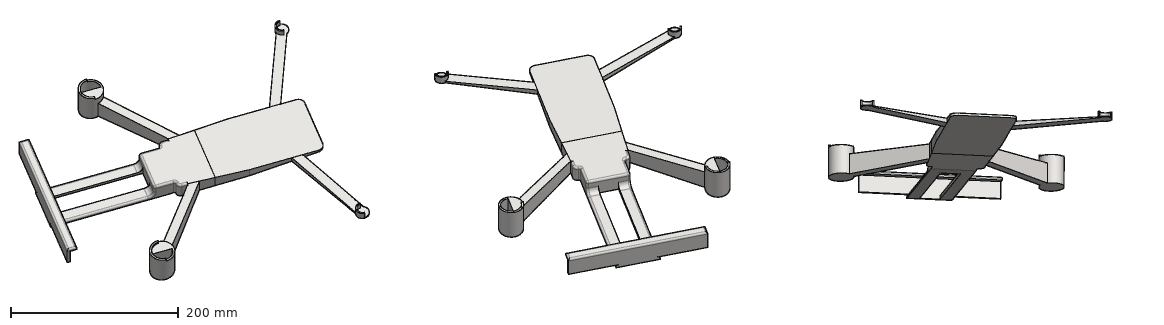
import cadquery as cq
import math


UNDERSIDE_TAIL_Y = 361.3
UNDERSIDE_TAIL_Z = -1.0
UNDERSIDE_NOSE_Y = 90.5
UNDERSIDE_NOSE_Z = -27.5
UNDERSIDE_SLOPE = (UNDERSIDE_TAIL_Z - UNDERSIDE_NOSE_Z) / (UNDERSIDE_TAIL_Y - UNDERSIDE_NOSE_Y)

TAIL_Y = 342.5
TAIL_HALF_WIDTH = 40.0
TAIL_CORNER_RADIUS = 8.3
TAPER_START_Y = 247.0
SEAM_Y = 204.5
SHOULDER_REAR_Y = 170.5
SHOULDER_FRONT_Y = 163.3
SHOULDER_HALF_WIDTH = 35.5
SHOULDER_OUTER_RADIUS = 5.8
SHOULDER_INNER_RADIUS = 2.0
NOSE_HALF_WIDTH = SHOULDER_HALF_WIDTH - SHOULDER_OUTER_RADIUS - SHOULDER_INNER_RADIUS
NOSE_FACE_Y = 130.5
NOSE_ROUNDING = 3.0

RAIL_TOP_Z = -17.5
RAIL_BOTTOM_Z = -21.5
RAIL_ROOT_RADIUS = 7.2
RAIL_GAP_HALF_WIDTH = 12.3

PLATE_HALF_WIDTH = 86.5
PLATE_THICKNESS = 4.0
PLATE_TOP_Z = 7.2
LIP_DEPTH = 12.5
LIP_ROUNDING = 2.5

FRONT_POD_X = 128.0
FRONT_POD_Y = 105.5
FRONT_POD_RADIUS = 15.0
FRONT_POD_TOP_Z = 10.5
FRONT_POD_RIM_Z = 13.0
FRONT_POD_WALL = 2.5
FRONT_POCKET_DEPTH = 21.5
FRONT_ARM_WIDTH = 11.5
FRONT_ARM_ROOT_Y = 177.8

REAR_POD_X = 144.5
REAR_POD_Y = 353.0
REAR_POD_RADIUS = 8.3
REAR_POD_RIM_Z = 7.5
REAR_POD_WALL = 1.8
REAR_ARM_WIDTH = 13.0
REAR_ARM_ROOT_Y = 305.5

CLEARANCE = 36.0
ARM_ROOT_X = 36.0
TOLERANCE = 0.05


def underside_z(y):
    """Height of the sloping underside at a given Y."""
    return UNDERSIDE_TAIL_Z - UNDERSIDE_SLOPE * (UNDERSIDE_TAIL_Y - y)


def prism_across(profile, half_width):
    """Extrude a profile drawn on the YZ plane equally to both sides of X = 0."""
    return profile.close().extrude(half_width, both=True)


def half_space(x, y, size, direction):
    """Tall square block that touches the point (x, y) and lies on the given side of it."""
    offset_x, offset_y = direction
    return cq.Workplane("XY").box(2 * size, 2 * size, 4 * CLEARANCE).translate(
        (x + offset_x * size, y + offset_y * size, 0)
    )


def space_below_underside():
    """Wedge-topped solid that fills the space under the underside plane."""
    rear_y = UNDERSIDE_TAIL_Y + CLEARANCE
    front_y = -CLEARANCE
    profile = (
        cq.Workplane("YZ")
        .moveTo(rear_y, underside_z(rear_y))
        .lineTo(front_y, underside_z(front_y))
        .lineTo(front_y, -3 * CLEARANCE)
        .lineTo(rear_y, -3 * CLEARANCE)
    )
    return prism_across(profile, REAR_POD_X + CLEARANCE)


def fuselage_plan():
    """Vertical prism, taller than the part, with the plan outline of both fuselage halves."""
    shoulder_arc_y = SHOULDER_FRONT_Y - SHOULDER_OUTER_RADIUS
    nose_start_y = shoulder_arc_y - SHOULDER_INNER_RADIUS
    step_x = NOSE_HALF_WIDTH + SHOULDER_INNER_RADIUS
    half = (
        cq.Workplane("XY", origin=(0, 0, -CLEARANCE))
        .moveTo(0, 0)
        .lineTo(NOSE_HALF_WIDTH, 0)
        .lineTo(NOSE_HALF_WIDTH, nose_start_y)
        .radiusArc((step_x, shoulder_arc_y), SHOULDER_INNER_RADIUS)
        .radiusArc((SHOULDER_HALF_WIDTH, SHOULDER_FRONT_Y), -SHOULDER_OUTER_RADIUS)
        .lineTo(SHOULDER_HALF_WIDTH, SHOULDER_REAR_Y)
        .lineTo(TAIL_HALF_WIDTH, TAPER_START_Y)
        .lineTo(TAIL_HALF_WIDTH, TAIL_Y - TAIL_CORNER_RADIUS)
        .radiusArc((TAIL_HALF_WIDTH - TAIL_CORNER_RADIUS, TAIL_Y), -TAIL_CORNER_RADIUS)
        .lineTo(0, TAIL_Y)
        .close()
        .extrude(2 * CLEARANCE)
    )
    return half.union(half.mirror("YZ"))


def make_rear_fuselage():
    """Tail half of the fuselage, from the seam to the rounded tail."""
    profile = (
        cq.Workplane("YZ")
        .moveTo(SEAM_Y, 0)
        .lineTo(SEAM_Y, underside_z(SEAM_Y))
        .lineTo(TAIL_Y, underside_z(TAIL_Y))
        .lineTo(TAIL_Y, 0)
    )
    return prism_across(profile, TAIL_HALF_WIDTH + CLEARANCE).intersect(fuselage_plan())


def is_nose_edge(edge):
    """Whether an edge of the nose ahead of the arms is one of its upper or outer edges."""
    box = edge.BoundingBox()
    at_cut = box.ymin > SHOULDER_REAR_Y - TOLERANCE
    on_top = box.zmin > -TOLERANCE
    on_side = box.xmin > NOSE_HALF_WIDTH - TOLERANCE or box.xmax < TOLERANCE - NOSE_HALF_WIDTH
    along_rail = on_side and box.zmin > RAIL_TOP_Z - TOLERANCE and box.ymax < NOSE_FACE_Y + TOLERANCE
    return not at_cut and (on_top or along_rail)


def make_nose_block():
    """Solid nose with a low shelf ahead of it, its upper and outer edges rounded."""
    flat_start_y = UNDERSIDE_TAIL_Y - (UNDERSIDE_TAIL_Z - RAIL_BOTTOM_Z) / UNDERSIDE_SLOPE
    profile = (
        cq.Workplane("YZ")
        .moveTo(SEAM_Y, 0)
        .lineTo(NOSE_FACE_Y, 0)
        .lineTo(NOSE_FACE_Y, RAIL_TOP_Z + RAIL_ROOT_RADIUS)
        .radiusArc((NOSE_FACE_Y - RAIL_ROOT_RADIUS, RAIL_TOP_Z), RAIL_ROOT_RADIUS)
        .lineTo(0, RAIL_TOP_Z)
        .lineTo(0, RAIL_BOTTOM_Z)
        .lineTo(flat_start_y, RAIL_BOTTOM_Z)
        .lineTo(SEAM_Y, underside_z(SEAM_Y))
    )
    block = prism_across(profile, TAIL_HALF_WIDTH + CLEARANCE).intersect(fuselage_plan())
    ahead_of_arms = half_space(0, SHOULDER_REAR_Y, UNDERSIDE_TAIL_Y, (0, -1))
    plain_block = block.cut(ahead_of_arms)
    nose = block.intersect(ahead_of_arms)
    rounded_nose = nose.edges().filter(is_nose_edge).fillet(NOSE_ROUNDING)
    return plain_block.union(rounded_nose)


def make_display_plate():
    """Upright plate with a backward lip, rounded around the lip's top."""
    profile = (
        cq.Workplane("YZ")
        .moveTo(0, RAIL_TOP_Z)
        .lineTo(0, PLATE_TOP_Z)
        .lineTo(LIP_DEPTH, PLATE_TOP_Z)
        .lineTo(LIP_DEPTH, PLATE_TOP_Z - PLATE_THICKNESS)
        .lineTo(PLATE_THICKNESS, PLATE_TOP_Z - PLATE_THICKNESS)
        .lineTo(PLATE_THICKNESS, RAIL_TOP_Z)
    )
    plate = prism_across(profile, PLATE_HALF_WIDTH)
    return plate.faces(">Z").edges().fillet(LIP_ROUNDING)


def make_front_fuselage():
    """Nose half of the fuselage, in one piece with the rails and the display plate."""
    gap_length = NOSE_FACE_Y - PLATE_THICKNESS
    rail_gap = (
        cq.Workplane("XY", origin=(0, PLATE_THICKNESS + gap_length / 2, -CLEARANCE))
        .rect(2 * RAIL_GAP_HALF_WIDTH, gap_length)
        .extrude(2 * CLEARANCE)
    )
    return make_nose_block().cut(rail_gap).union(make_display_plate())


def cylinder(x, y, radius, top_z):
    """Upright cylinder that starts below the part and ends at the given height."""
    return cq.Workplane("XY", origin=(x, y, -CLEARANCE)).circle(radius).extrude(top_z + CLEARANCE)


def make_arm_bar(pod_x, pod_y, root_y, width):
    """Straight bar on the +X side from inside the fuselage to the pod centre, its top at Z = 0."""
    run = pod_x - ARM_ROOT_X
    rise = pod_y - root_y
    length = math.hypot(run, rise) + width
    angle = math.degrees(math.atan2(-rise, -run))
    bar = cq.Workplane("XY").box(length, width, CLEARANCE, centered=(False, True, False))
    return bar.rotate((0, 0, 0), (0, 0, 1), angle).translate((pod_x, pod_y, -CLEARANCE))


def make_rim(x, y, radius, wall, base_z, rim_z):
    """Half-round wall standing on the front half of a pod."""
    ring = (
        cq.Workplane("XY", origin=(x, y, base_z))
        .circle(radius)
        .circle(radius - wall)
        .extrude(rim_z - base_z)
    )
    return ring.intersect(half_space(x, y, 2 * radius, (0, -1)))


def trim_arm(arm):
    """End an arm at the fuselage side and at the sloping underside."""
    return arm.cut(fuselage_plan()).cut(space_below_underside())


def make_front_arm():
    """Front arm on the +X side: bar and pod with a half-round pocket in its outer half."""
    pod_place = (FRONT_POD_X, FRONT_POD_Y)
    pod = cylinder(*pod_place, FRONT_POD_RADIUS, FRONT_POD_TOP_Z)
    rim = make_rim(*pod_place, FRONT_POD_RADIUS, FRONT_POD_WALL, FRONT_POD_TOP_Z, FRONT_POD_RIM_Z)
    pocket = (
        cq.Workplane("XY", origin=(*pod_place, FRONT_POD_TOP_Z - FRONT_POCKET_DEPTH))
        .circle(FRONT_POD_RADIUS - FRONT_POD_WALL)
        .extrude(FRONT_POCKET_DEPTH)
        .intersect(half_space(*pod_place, 2 * FRONT_POD_RADIUS, (1, 0)))
    )
    bar = make_arm_bar(*pod_place, FRONT_ARM_ROOT_Y, FRONT_ARM_WIDTH)
    return trim_arm(bar.union(pod)).cut(pocket).union(rim)


def make_rear_arm():
    """Rear arm on the +X side: bar and thin pad with a rim around its front half."""
    pod_place = (REAR_POD_X, REAR_POD_Y)
    pad = cylinder(*pod_place, REAR_POD_RADIUS, 0)
    rim = make_rim(*pod_place, REAR_POD_RADIUS, REAR_POD_WALL, 0, REAR_POD_RIM_Z)
    bar = make_arm_bar(*pod_place, REAR_ARM_ROOT_Y, REAR_ARM_WIDTH)
    return trim_arm(bar).union(trim_arm(pad)).union(rim)


rear_fuselage = make_rear_fuselage()
front_fuselage = make_front_fuselage()

arms = []
for right_arm in (make_front_arm(), make_rear_arm()):
    left_arm = right_arm.mirror("YZ")
    arms.append(right_arm.val())
    arms.append(left_arm.val())

result = cq.Compound.makeCompound([rear_fuselage.val(), front_fuselage.val(), *arms])